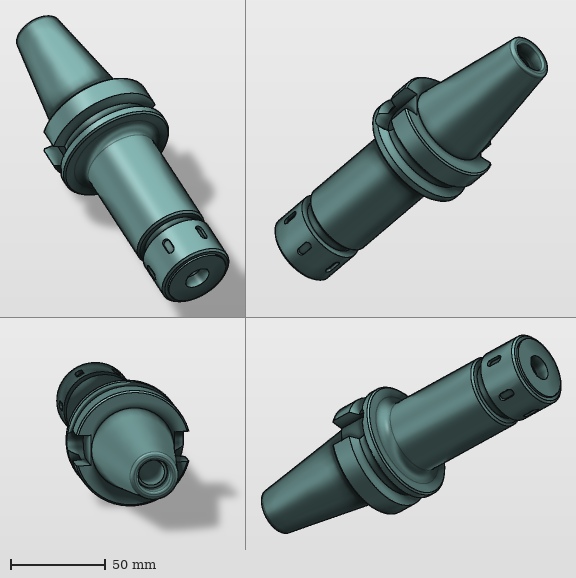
import cadquery as cq
import math


gauge_diameter = 44.5
taper_length = 65.5
taper_slope = 7 / 48
taper_small_radius = gauge_diameter / 2 - taper_length * taper_slope
taper_end_rounding = 1.9

flange_diameter = 63.0
flange_start = 65.8
flange_end = 92.3
flange_edge_chamfer = 1.0
groove_floor_diameter = 53.2
groove_start = 77.9
groove_floor_start = 80.5
groove_floor_end = 85.3
groove_end = 87.7

drive_slot_width = 16.5
drive_slot_end = 89.0
drive_slot_floor = 22.6

body_diameter = 40.0
body_end = 155.5
body_edge_chamfer = 1.1
body_root_fillet = 5.4
neck_diameter = 32.0
neck_end = 178.0

bore_diameter = 13.9
mouth_diameter = 17.5
mouth_edge_diameter = 19.8
mouth_rounding = (mouth_edge_diameter - mouth_diameter) / 2
pilot_diameter = 17.0
mouth_end = 6.9
pilot_start = 7.6
pilot_end = 9.3

nut_diameter = body_diameter
nut_start = 161.5
nut_shoulder = 184.3
nut_end = 185.4
nut_edge_chamfer = 1.1
nut_nose_diameter = 34.1

wrench_slot_count = 6
wrench_slot_length = 9.3
wrench_slot_width = 4.0
wrench_slot_depth = 1.9
wrench_slot_center = 171.0


def drive_slot_cutter():
    """Round-ended slot that opens at the taper side of the flange, for the -Y side."""
    half_width = drive_slot_width / 2
    arc_center = drive_slot_end - half_width
    return (
        cq.Workplane("XZ", origin=(0, -drive_slot_floor, 0))
        .moveTo(flange_start, -half_width)
        .lineTo(arc_center, -half_width)
        .threePointArc((drive_slot_end, 0), (arc_center, half_width))
        .lineTo(flange_start, half_width)
        .close()
        .extrude(flange_diameter / 2)
    )


def make_holder():
    """Taper, flange, body and neck turned as one piece, with the bore and drive slots."""
    flange_radius = flange_diameter / 2
    groove_radius = groove_floor_diameter / 2
    body_radius = body_diameter / 2
    neck_radius = neck_diameter / 2
    bore_radius = bore_diameter / 2
    mouth_radius = mouth_diameter / 2
    mouth_edge_radius = mouth_edge_diameter / 2
    pilot_radius = pilot_diameter / 2
    diagonal = math.sqrt(0.5)
    rounding_radius_start = taper_small_radius + taper_end_rounding * taper_slope
    rounding_center_radius = rounding_radius_start - taper_end_rounding
    root_end = flange_end + body_root_fillet
    root_radius = body_radius + body_root_fillet

    profile = (
        cq.Workplane("XY")
        .moveTo(0, mouth_edge_radius)
        .lineTo(0, rounding_center_radius)
        .threePointArc(
            (
                taper_end_rounding * (1 - diagonal),
                rounding_center_radius + taper_end_rounding * diagonal,
            ),
            (taper_end_rounding, rounding_radius_start),
        )
        .lineTo(taper_length, gauge_diameter / 2)
        .lineTo(flange_start, gauge_diameter / 2)
        .lineTo(flange_start, flange_radius - flange_edge_chamfer)
        .lineTo(flange_start + flange_edge_chamfer, flange_radius)
        .lineTo(groove_start, flange_radius)
        .lineTo(groove_floor_start, groove_radius)
        .lineTo(groove_floor_end, groove_radius)
        .lineTo(groove_end, flange_radius)
        .lineTo(flange_end - flange_edge_chamfer, flange_radius)
        .lineTo(flange_end, flange_radius - flange_edge_chamfer)
        .lineTo(flange_end, root_radius)
        .threePointArc(
            (root_end - body_root_fillet * diagonal, root_radius - body_root_fillet * diagonal),
            (root_end, body_radius),
        )
        .lineTo(body_end - body_edge_chamfer, body_radius)
        .lineTo(body_end, body_radius - body_edge_chamfer)
        .lineTo(body_end, neck_radius)
        .lineTo(neck_end, neck_radius)
        .lineTo(neck_end, bore_radius)
        .lineTo(pilot_end, bore_radius)
        .lineTo(pilot_end, pilot_radius)
        .lineTo(pilot_start, pilot_radius)
        .lineTo(mouth_end, mouth_radius)
        .lineTo(mouth_rounding, mouth_radius)
        .threePointArc(
            (
                mouth_rounding * (1 - diagonal),
                mouth_edge_radius - mouth_rounding * diagonal,
            ),
            (0, mouth_edge_radius),
        )
        .close()
    )
    holder = profile.revolve(360, (0, 0, 0), (1, 0, 0))
    slot = drive_slot_cutter()
    return holder.cut(slot).cut(slot.mirror("XZ"))


def wrench_slot_cutter(angle):
    """Round-ended slot sunk into the nut, turned about X from the -Y side."""
    return (
        cq.Workplane("XZ", origin=(wrench_slot_center, wrench_slot_depth - nut_diameter / 2, 0))
        .slot2D(wrench_slot_length, wrench_slot_width)
        .extrude(2 * wrench_slot_depth)
        .rotate((0, 0, 0), (1, 0, 0), angle)
    )


def make_nut():
    """Ring closed at its outer end around the bore, fitted over the holder's neck."""
    nut_radius = nut_diameter / 2
    neck_radius = neck_diameter / 2
    bore_radius = bore_diameter / 2
    nose_radius = nut_nose_diameter / 2
    profile = (
        cq.Workplane("XY")
        .moveTo(nut_start, neck_radius)
        .lineTo(nut_start, nut_radius)
        .lineTo(nut_shoulder - nut_edge_chamfer, nut_radius)
        .lineTo(nut_shoulder, nut_radius - nut_edge_chamfer)
        .lineTo(nut_shoulder, nose_radius)
        .lineTo(nut_end, nose_radius)
        .lineTo(nut_end, bore_radius)
        .lineTo(neck_end, bore_radius)
        .lineTo(neck_end, neck_radius)
        .close()
    )
    nut = profile.revolve(360, (0, 0, 0), (1, 0, 0))
    for index in range(wrench_slot_count):
        nut = nut.cut(wrench_slot_cutter(index * 360 / wrench_slot_count))
    return nut


holder = make_holder()
nut = make_nut()
result = cq.Compound.makeCompound([holder.val(), nut.val()])